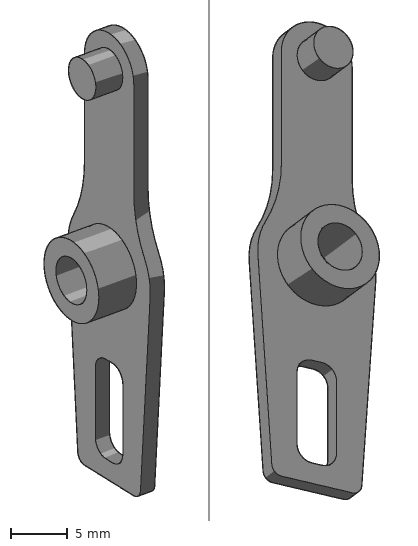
import cadquery as cq
import math

plate_thickness = 1.6
overall_height = 45.0
tip_radius = 3.6
hub_radius = 6.0
neck_blend_radius = 12.0
tail_taper_angle = math.radians(4.0)
tail_corner_radius = 1.0

boss_radius = 4.0
boss_height = 4.2
bore_radius = 2.25
pin_radius = 2.0
pin_height = 3.0
pin_distance = 19.9

slot_width = 4.0
slot_length = 10.0
slot_corner_radius = 1.5
slot_top_z = -9.5

tail_z = pin_distance + tip_radius - overall_height


def on_circle(center, radius, angle):
    """Point on a circle at the given angle from +X."""
    return (center[0] + radius * math.cos(angle), center[1] + radius * math.sin(angle))


def mirrored(point):
    """The same point on the -X side of the lever."""
    return (-point[0], point[1])


def front_plane():
    """Sketch plane on the plate's front face, with its normal toward -Y."""
    return cq.Workplane("XZ")


def make_plate():
    """Lever outline with rounded tail corners."""
    neck_center_x = tip_radius + neck_blend_radius
    neck_center_z = math.sqrt((hub_radius + neck_blend_radius) ** 2 - neck_center_x**2)
    neck_center = (neck_center_x, neck_center_z)
    hub_center = (0, 0)
    joint_angle = math.atan2(neck_center_z, neck_center_x)

    tail_half_width = hub_radius / math.cos(tail_taper_angle) + tail_z * math.tan(tail_taper_angle)
    tail_corner = (tail_half_width, tail_z)
    tail_start = on_circle(hub_center, hub_radius, -tail_taper_angle)
    hub_middle = on_circle(hub_center, hub_radius, (joint_angle - tail_taper_angle) / 2)
    neck_joint = on_circle(hub_center, hub_radius, joint_angle)
    neck_middle = on_circle(neck_center, neck_blend_radius, math.pi + joint_angle / 2)
    neck_top = (tip_radius, neck_center_z)
    arm_top = (tip_radius, pin_distance)
    tip = (0, pin_distance + tip_radius)

    plate = (
        front_plane()
        .moveTo(*mirrored(tail_corner))
        .lineTo(*tail_corner)
        .lineTo(*tail_start)
        .threePointArc(hub_middle, neck_joint)
        .threePointArc(neck_middle, neck_top)
        .lineTo(*arm_top)
        .threePointArc(tip, mirrored(arm_top))
        .lineTo(*mirrored(neck_top))
        .threePointArc(mirrored(neck_middle), mirrored(neck_joint))
        .threePointArc(mirrored(hub_middle), mirrored(tail_start))
        .close()
        .extrude(-plate_thickness)
    )
    return plate.edges("|Y").edges("<Z").fillet(tail_corner_radius)


def make_cylinder(radius, height, center_z=0):
    """Round post standing on the plate's front face."""
    return front_plane().center(0, center_z).circle(radius).extrude(height)


def make_bore():
    """Cutter for the hole through the plate and the boss."""
    plate_back = front_plane().workplane(offset=-plate_thickness)
    return plate_back.circle(bore_radius).extrude(plate_thickness + boss_height)


def make_slot():
    """Cutter for the rounded slot through the tail."""
    slot = (
        front_plane()
        .center(0, slot_top_z - slot_length / 2)
        .rect(slot_width, slot_length)
        .extrude(-plate_thickness)
    )
    return slot.edges("|Y").fillet(slot_corner_radius)


boss = make_cylinder(boss_radius, boss_height)
pin = make_cylinder(pin_radius, pin_height, pin_distance)
result = make_plate().union(boss).union(pin).cut(make_bore()).cut(make_slot())